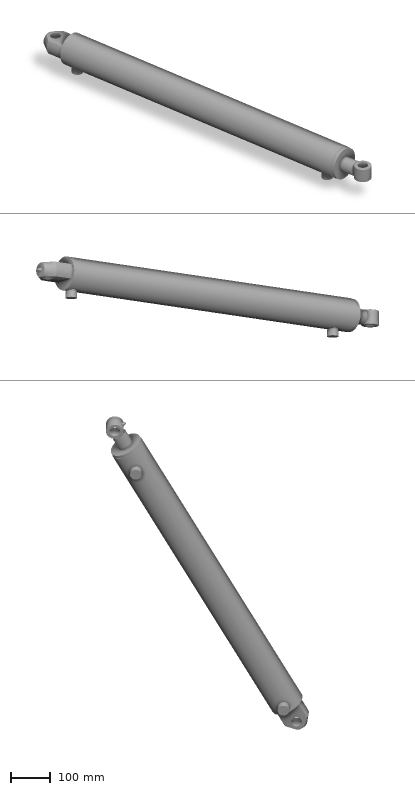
import cadquery as cq


LUG_END_X = 8.0
LUG_HOLE_X = 32.0
LUG_NOSE_END_X = 33.0
BARREL_START_X = 83.0
GLAND_START_X = 955.0
GLAND_END_X = 965.0
OVERALL_LENGTH = 1045.0
PORT_XS = (103.0, 908.0)

BARREL_RADIUS = 43.0
GLAND_RADIUS = 42.0

PORT_RADIUS = 15.0
PORT_BOTTOM_Z = -61.0
PORT_NECK_RADIUS = 14.0
PORT_NECK_BOTTOM_Z = -45.0

LUG_RADIUS = 36.0
LUG_NOSE_RADIUS = 18.0
LUG_THICKNESS = 38.0
PIN_HOLE_DIAMETER = 27.0

ROD_DIAMETER = 39.0
ROD_RADIUS = ROD_DIAMETER / 2
EYE_RADIUS = 22.0
EYE_HEIGHT = 38.0
EYE_CHAMFER = 1.0
EYE_X = OVERALL_LENGTH - EYE_RADIUS
ROD_END_X = EYE_X - EYE_RADIUS

NIPPLE_LENGTH = LUG_END_X
NIPPLE_BASE_RADIUS = 5.0
NIPPLE_TIP_RADIUS = 2.0
NIPPLE_ROOT = 3.0


def x_cylinder(radius, start_x, end_x):
    """Solid cylinder on the X axis between two positions."""
    return cq.Workplane("YZ", origin=(start_x, 0, 0)).circle(radius).extrude(end_x - start_x)


def z_cylinder(radius, x, bottom_z, top_z):
    """Solid upright cylinder centred on y = 0."""
    return cq.Workplane("XY", origin=(x, 0, bottom_z)).circle(radius).extrude(top_z - bottom_z)


def grease_nipple(seat, direction):
    """Tapered nipple on a seat point, with a straight root going into the material behind it."""
    axis = cq.Vector(*direction)
    seat_point = cq.Vector(*seat)
    root = cq.Solid.makeCylinder(NIPPLE_BASE_RADIUS, NIPPLE_ROOT, seat_point - axis * NIPPLE_ROOT, axis)
    taper = cq.Solid.makeCone(NIPPLE_BASE_RADIUS, NIPPLE_TIP_RADIUS, NIPPLE_LENGTH, seat_point, axis)
    return cq.Workplane(root).union(cq.Workplane(taper))


def make_base_lug():
    """Turned lug with a conical nose, cut to two flats and drilled for a pin."""
    profile = [
        (LUG_END_X, 0),
        (LUG_END_X, LUG_NOSE_RADIUS),
        (LUG_NOSE_END_X, LUG_RADIUS),
        (BARREL_START_X, LUG_RADIUS),
        (BARREL_START_X, 0),
    ]
    turned = cq.Workplane("XY").polyline(profile).close().revolve(360, (0, 0, 0), (1, 0, 0))
    flats = cq.Workplane("XY").box(2 * BARREL_START_X, 2 * LUG_RADIUS, LUG_THICKNESS)
    pin_hole = z_cylinder(PIN_HOLE_DIAMETER / 2, LUG_HOLE_X, -LUG_THICKNESS, LUG_THICKNESS)
    lug = turned.intersect(flats).cut(pin_hole)
    return lug.union(grease_nipple((LUG_END_X, 0, 0), (-1, 0, 0)))


def make_barrel():
    """Barrel with its base lug and the two ports below it."""
    barrel = x_cylinder(BARREL_RADIUS, BARREL_START_X, GLAND_START_X).union(make_base_lug())
    for port_x in PORT_XS:
        neck = z_cylinder(PORT_NECK_RADIUS, port_x, PORT_NECK_BOTTOM_Z, 0)
        port = z_cylinder(PORT_RADIUS, port_x, PORT_BOTTOM_Z, PORT_NECK_BOTTOM_Z)
        barrel = barrel.union(neck).union(port)
    return barrel


def make_gland():
    """Slightly narrower ring that closes the barrel and guides the rod."""
    ring = x_cylinder(GLAND_RADIUS, GLAND_START_X, GLAND_END_X)
    return ring.cut(x_cylinder(ROD_RADIUS, GLAND_START_X, GLAND_END_X))


def make_rod():
    """Rod through the gland, from the barrel end to the eye."""
    return x_cylinder(ROD_RADIUS, GLAND_START_X, ROD_END_X)


def make_rod_eye():
    """Upright eye that touches the rod end, with a nipple on its +Y side."""
    eye = z_cylinder(EYE_RADIUS, EYE_X, -EYE_HEIGHT / 2, EYE_HEIGHT / 2)
    eye = eye.faces("|Z").chamfer(EYE_CHAMFER)
    eye = eye.union(grease_nipple((EYE_X, EYE_RADIUS, 0), (0, 1, 0)))
    return eye.cut(z_cylinder(PIN_HOLE_DIAMETER / 2, EYE_X, -EYE_HEIGHT / 2, EYE_HEIGHT / 2))


barrel = make_barrel()
gland = make_gland()
rod = make_rod()
rod_eye = make_rod_eye()

result = cq.Compound.makeCompound([barrel.val(), gland.val(), rod.val(), rod_eye.val()])